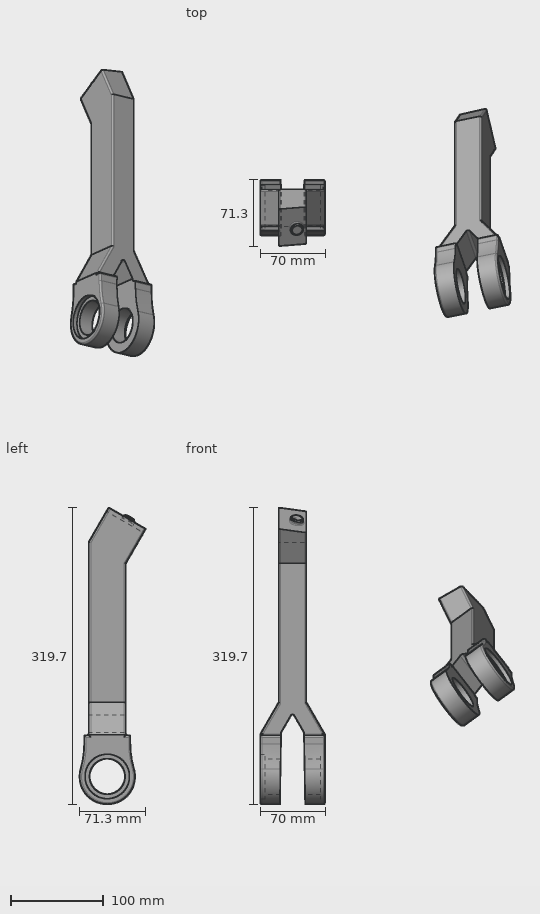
import cadquery as cq
import math


fork_half_width = 35.0
eye_radius = 30.0
shoulder_half_depth = 25.0
flare_start_z = 35.0
shoulder_z = 44.5
shoulder_fillet = 1.8
bore_radius = 19.0
counterbore_radius = 24.0
counterbore_depth = 5.0

gap_half_width = 13.0
gap_draft = 1.0
gap_straight_top_z = 47.5
crotch_radius = 2.0
leg_angle = 30.0

shank_half_width = 15.0
shank_half_depth = 20.0
lug_top_z = 45.2
edge_fillet = 2.0

head_angle = 30.0
head_bend_z = 241.2
head_length = 43.0
end_slant = 9.0

pin_offset_x = 4.3
pin_offset_y = -2.0
pin_radius = 7.0
pin_height = 5.0
pin_chamfer = 1.5
pin_root_fillet = 1.0

trim_allowance = 10.0
tolerance = 0.01

leg_tan = math.tan(math.radians(leg_angle))
head_sin = math.sin(math.radians(head_angle))
head_cos = math.cos(math.radians(head_angle))
head_tan = head_sin / head_cos
slant_sin = math.sin(math.radians(end_slant))
slant_cos = math.cos(math.radians(end_slant))
blank_head_length = head_length + trim_allowance
blank_top_z = head_bend_z + 2 * blank_head_length
eye_bottom_z = -eye_radius


def side_outline():
    """YZ outline: round eye, flared flanks, shoulders, shank and tilted head."""
    flank_radius = (
        (eye_radius**2 - shoulder_half_depth**2 - flare_start_z**2)
        / (2 * (shoulder_half_depth - eye_radius))
    )
    flank_center_y = shoulder_half_depth + flank_radius
    flank_angle = math.atan2(flare_start_z, flank_center_y)
    tangent_y = eye_radius * math.cos(flank_angle)
    tangent_z = eye_radius * math.sin(flank_angle)
    flank_mid_y = flank_center_y - flank_radius * math.cos(flank_angle / 2)
    flank_mid_z = flare_start_z - flank_radius * math.sin(flank_angle / 2)

    back_bend_z = head_bend_z + shank_half_depth * head_tan
    front_bend_z = head_bend_z - shank_half_depth * head_tan
    head_shift_y = -blank_head_length * head_sin
    head_rise = blank_head_length * head_cos
    return (
        cq.Workplane("YZ")
        .moveTo(tangent_y, tangent_z)
        .threePointArc((flank_mid_y, flank_mid_z), (shoulder_half_depth, flare_start_z))
        .lineTo(shoulder_half_depth, shoulder_z)
        .lineTo(shank_half_depth, shoulder_z)
        .lineTo(shank_half_depth, back_bend_z)
        .lineTo(shank_half_depth + head_shift_y, back_bend_z + head_rise)
        .lineTo(-shank_half_depth + head_shift_y, front_bend_z + head_rise)
        .lineTo(-shank_half_depth, front_bend_z)
        .lineTo(-shank_half_depth, shoulder_z)
        .lineTo(-shoulder_half_depth, shoulder_z)
        .lineTo(-shoulder_half_depth, flare_start_z)
        .threePointArc((-flank_mid_y, flank_mid_z), (-tangent_y, tangent_z))
        .threePointArc((0, eye_bottom_z), (tangent_y, tangent_z))
        .close()
    )


def front_prism():
    """Y-shaped silhouette in XZ, solid between the legs, extruded through Y."""
    leg_top_z = lug_top_z + (fork_half_width - shank_half_width) / leg_tan
    return (
        cq.Workplane("XZ")
        .moveTo(-fork_half_width, eye_bottom_z)
        .lineTo(-fork_half_width, lug_top_z)
        .lineTo(-shank_half_width, leg_top_z)
        .lineTo(-shank_half_width, blank_top_z)
        .lineTo(shank_half_width, blank_top_z)
        .lineTo(shank_half_width, leg_top_z)
        .lineTo(fork_half_width, lug_top_z)
        .lineTo(fork_half_width, eye_bottom_z)
        .close()
        .extrude(blank_head_length + shank_half_depth, both=True)
    )


def is_rounded(edge):
    """True for the rims of the outer X faces and the outer shoulder edges."""
    middle = edge.positionAt(0.5)
    on_outer_face = abs(middle.x) > shank_half_width - tolerance
    along_shank_depth = abs(edge.tangentAt(0.5).x) < tolerance and abs(middle.y) < tolerance
    on_bend_crease = along_shank_depth and edge.geomType() == "LINE"
    on_blank_end = abs(edge.tangentAt(0.5).y) > head_cos - tolerance and middle.z > head_bend_z
    on_shoulder = (
        abs(middle.z - shoulder_z) < tolerance
        and abs(abs(middle.y) - shoulder_half_depth) < tolerance
    )
    return on_shoulder or (on_outer_face and not on_bend_crease and not on_blank_end)


def rounded_body():
    """Outline and silhouette intersected, with the outer edges rounded."""
    blank = side_outline().extrude(fork_half_width, both=True).intersect(front_prism())
    return blank.newObject(blank.edges().filter(is_rounded).vals()).fillet(edge_fillet)


def shoulder_fillets():
    """Concave strips between the shank faces and the shoulders."""
    fillet_end_y = shank_half_depth + shoulder_fillet
    fillet_end_z = shoulder_z + shoulder_fillet
    arc_inset = shoulder_fillet * math.sqrt(0.5)
    strip = (
        cq.Workplane("YZ")
        .moveTo(fillet_end_y, shoulder_z)
        .threePointArc(
            (fillet_end_y - arc_inset, fillet_end_z - arc_inset),
            (shank_half_depth, fillet_end_z),
        )
        .lineTo(shank_half_depth - edge_fillet, fillet_end_z)
        .lineTo(shank_half_depth - edge_fillet, shoulder_z - edge_fillet)
        .lineTo(fillet_end_y, shoulder_z - edge_fillet)
        .close()
        .extrude(fork_half_width - edge_fillet, both=True)
    )
    return strip.union(strip.mirror("XZ"))


def lug_gap():
    """Drafted slot between the lugs, closed by a rounded crotch parallel to the legs."""
    draft_tan = math.tan(math.radians(gap_draft))
    top_x = gap_half_width - gap_straight_top_z * draft_tan
    bottom_x = gap_half_width - eye_bottom_z * draft_tan
    apex_z = gap_straight_top_z + top_x / leg_tan
    return (
        cq.Workplane("XZ")
        .moveTo(-bottom_x, eye_bottom_z)
        .lineTo(-top_x, gap_straight_top_z)
        .lineTo(0, apex_z)
        .lineTo(top_x, gap_straight_top_z)
        .lineTo(bottom_x, eye_bottom_z)
        .close()
        .extrude(2 * eye_radius, both=True)
        .edges(cq.selectors.NearestToPointSelector((0, 0, apex_z)))
        .fillet(crotch_radius)
    )


def lug_bores():
    """Through bore with a counterbore in each outer lug face."""
    bores = cq.Workplane("YZ").circle(bore_radius).extrude(fork_half_width, both=True)
    for side in (-1, 1):
        counterbore = (
            cq.Workplane("YZ", origin=(side * fork_half_width, 0, 0))
            .circle(counterbore_radius)
            .extrude(-side * counterbore_depth)
        )
        bores = bores.union(counterbore)
    return bores


def head_end_plane():
    """Plane of the slanted end face, centred on the head axis."""
    axis_length = head_length - shank_half_width * slant_sin / slant_cos
    return cq.Plane(
        origin=(0, -axis_length * head_sin, head_bend_z + axis_length * head_cos),
        xDir=(slant_cos, slant_sin * head_sin, -slant_sin * head_cos),
        normal=(slant_sin, -slant_cos * head_sin, slant_cos * head_cos),
    )


def head_trim():
    """Block removing everything beyond the slanted end face."""
    block_size = 2 * blank_head_length
    return cq.Workplane(head_end_plane()).rect(block_size, block_size).extrude(block_size)


def locating_pin():
    """Chamfered pin with a flared root, turned as one profile about its own axis."""
    root_inset = pin_root_fillet * (1 - math.sqrt(0.5))
    end_plane = head_end_plane()
    pin_axis_point = end_plane.toWorldCoords((pin_offset_x, pin_offset_y, 0))
    profile_plane = cq.Plane(origin=pin_axis_point, xDir=end_plane.xDir, normal=-end_plane.yDir)
    return (
        cq.Workplane(profile_plane)
        .moveTo(0, -pin_root_fillet)
        .lineTo(pin_radius + pin_root_fillet, -pin_root_fillet)
        .lineTo(pin_radius + pin_root_fillet, 0)
        .threePointArc((pin_radius + root_inset, root_inset), (pin_radius, pin_root_fillet))
        .lineTo(pin_radius, pin_height - pin_chamfer)
        .lineTo(pin_radius - pin_chamfer, pin_height)
        .lineTo(0, pin_height)
        .close()
        .revolve(360, (0, 0, 0), (0, 1, 0))
    )


result = (
    rounded_body()
    .union(shoulder_fillets())
    .cut(lug_gap())
    .cut(lug_bores())
    .cut(head_trim())
    .union(locating_pin())
)